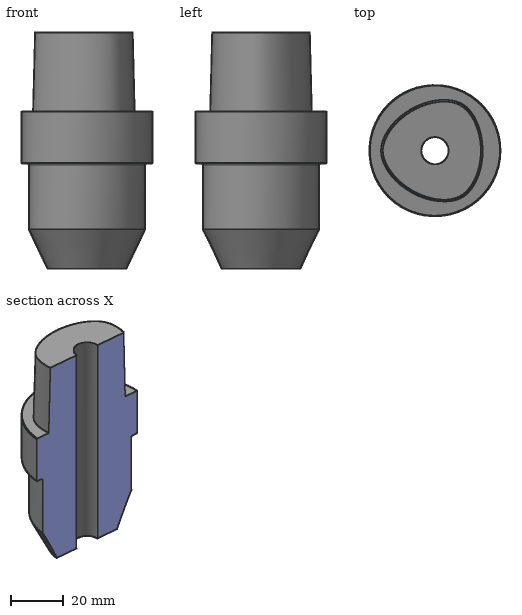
import cadquery as cq
import math

total_height = 90.0
nose_height = 15.0
collar_height = 20.0
shank_height = 30.0
collar_bottom = total_height - shank_height - collar_height
collar_top = collar_bottom + collar_height

collar_diameter = 50.0
body_diameter = 44.4
nose_diameter = 30.0
bore_diameter = 10.3
collar_chamfer = 0.3
neck_fillet = 0.5

shank_base_width = 38.8
shank_taper = 1 / 20
shank_top_width = shank_base_width - shank_taper * shank_height
lobe_eccentricity = 1.2
curve_points = 36


def lobed_point(width, angle):
    """Return the point of the constant-width curve whose outward normal is at the given angle."""
    radius = width / 2
    x = radius * math.cos(angle) - lobe_eccentricity * (2 * math.cos(2 * angle) - math.cos(4 * angle))
    y = radius * math.sin(angle) + lobe_eccentricity * (2 * math.sin(2 * angle) + math.sin(4 * angle))
    return x, y


def lobed_points(width):
    """Return evenly stepped points around one three-lobed shank section."""
    step = 2 * math.pi / curve_points
    return [lobed_point(width, index * step) for index in range(curve_points)]


def make_body():
    """Revolve the conical nose, cylindrical body and chamfered collar."""
    body_radius = body_diameter / 2
    collar_radius = collar_diameter / 2
    return (
        cq.Workplane("XZ")
        .lineTo(nose_diameter / 2, 0)
        .lineTo(body_radius, nose_height)
        .lineTo(body_radius, collar_bottom - neck_fillet)
        .radiusArc((body_radius + neck_fillet, collar_bottom), neck_fillet)
        .lineTo(collar_radius - collar_chamfer, collar_bottom)
        .lineTo(collar_radius, collar_bottom + collar_chamfer)
        .lineTo(collar_radius, collar_top - collar_chamfer)
        .lineTo(collar_radius - collar_chamfer, collar_top)
        .lineTo(0, collar_top)
        .close()
        .revolve()
    )


def make_shank():
    """Loft the lobed shank from the collar to the top face."""
    return (
        cq.Workplane("XY", origin=(0, 0, collar_top))
        .spline(lobed_points(shank_base_width), periodic=True)
        .wire()
        .workplane(offset=shank_height)
        .spline(lobed_points(shank_top_width), periodic=True)
        .wire()
        .loft(ruled=True)
    )


bore = cq.Workplane("XY").circle(bore_diameter / 2).extrude(total_height)

result = make_body().union(make_shank()).cut(bore)